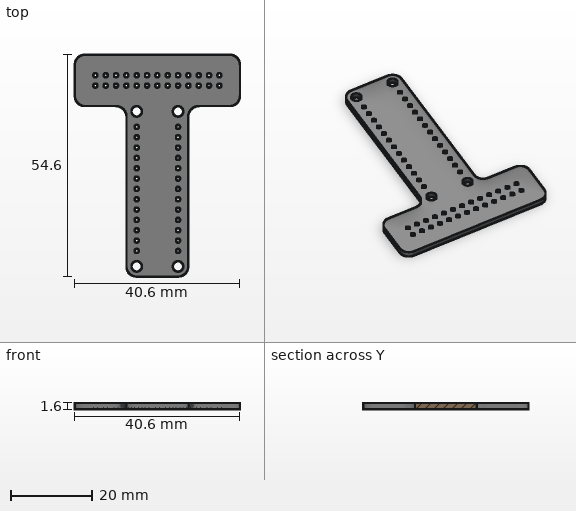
import cadquery as cq

length = 54.6
thickness = 1.6
length_in_pitches = 21.5
pitch = length / length_in_pitches

head_width = 16 * pitch
head_depth = 5 * pitch
stem_width = 6 * pitch
corner_radius = pitch
top_edge = length / 2

pin_diameter = 1.0
mount_diameter = 2.5
pins_per_row = 13
column_offset = 2 * pitch
head_row_depths = [2 * pitch, 3 * pitch]
first_stem_pin_depth = 7 * pitch
mount_depths = [5.5 * pitch, 20.5 * pitch]


def make_board():
    """Flat T with every convex and concave corner rounded alike."""
    head = (
        cq.Workplane("XY")
        .center(0, top_edge - head_depth / 2)
        .rect(head_width, head_depth)
        .extrude(thickness)
    )
    stem = cq.Workplane("XY").rect(stem_width, length).extrude(thickness)
    return head.union(stem).clean().edges("|Z").fillet(corner_radius)


def drill(body, points, diameter):
    """Cut through holes at the given XY points."""
    cutters = cq.Workplane("XY").pushPoints(points).circle(diameter / 2).extrude(thickness)
    return body.cut(cutters)


head_pins = [
    ((i - (pins_per_row - 1) / 2) * pitch, top_edge - depth)
    for depth in head_row_depths
    for i in range(pins_per_row)
]

stem_pins = [
    (side * column_offset, top_edge - first_stem_pin_depth - i * pitch)
    for side in (-1, 1)
    for i in range(pins_per_row)
]

mount_holes = [
    (side * column_offset, top_edge - depth)
    for side in (-1, 1)
    for depth in mount_depths
]

result = make_board()
result = drill(result, head_pins + stem_pins, pin_diameter)
result = drill(result, mount_holes, mount_diameter)